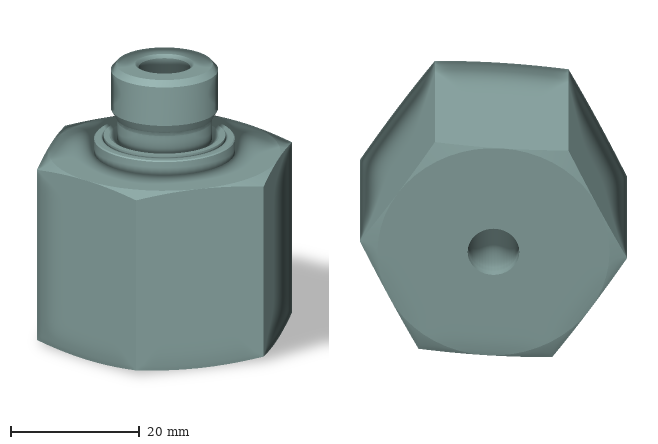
import cadquery as cq
import math

across_flats = 36.0
hex_height = 29.52
corner_chamfer_angle = 15.0

total_height = 44.0
spigot_diameter = 16.68
spigot_chamfer_height = 0.92
spigot_chamfer_width = 0.85
spigot_bottom = 36.75
neck_diameter = 14.7
neck_top = 35.02
neck_fillet = 1.2

flange_diameter = 21.9
flange_top = 31.9
flange_chamfer = 0.18
groove_diameter = 19.0
groove_bottom = hex_height

bore_diameter = 8.0
bore_mouth_chamfer = 0.55

seal_diameter = 18.9
seal_top = 32.25
seal_mouth_diameter = 17.05
seal_mouth_depth = 0.7


def make_hexagon():
    """Hexagonal prism with flats facing +X and -X and conically trimmed corners."""
    corner_radius = across_flats / math.sqrt(3)
    flat_radius = across_flats / 2
    corner_drop = (corner_radius - flat_radius) * math.tan(math.radians(corner_chamfer_angle))
    prism = (
        cq.Workplane("XY")
        .polygon(6, 2 * corner_radius)
        .extrude(hex_height)
        .rotate((0, 0, 0), (0, 0, 1), 30)
    )
    trim = (
        cq.Workplane("XZ")
        .moveTo(0, 0)
        .lineTo(flat_radius, 0)
        .lineTo(corner_radius, corner_drop)
        .lineTo(corner_radius, hex_height - corner_drop)
        .lineTo(flat_radius, hex_height)
        .lineTo(0, hex_height)
        .close()
        .revolve(360, (0, 0, 0), (0, 1, 0))
    )
    return prism.intersect(trim)


def make_flange():
    """Flange rim around the seal groove, chamfered on both upper edges."""
    return (
        cq.Workplane("XY", origin=(0, 0, groove_bottom))
        .circle(flange_diameter / 2)
        .circle(groove_diameter / 2)
        .extrude(flange_top - groove_bottom)
        .faces(">Z")
        .edges()
        .chamfer(flange_chamfer)
    )


def make_spigot():
    """Neck that widens through a cone into the chamfered spigot."""
    spigot_radius = spigot_diameter / 2
    neck_radius = neck_diameter / 2
    spigot = (
        cq.Workplane("XZ")
        .moveTo(0, hex_height)
        .lineTo(neck_radius, hex_height)
        .lineTo(neck_radius, neck_top)
        .lineTo(spigot_radius, spigot_bottom)
        .lineTo(spigot_radius, total_height - spigot_chamfer_height)
        .lineTo(spigot_radius - spigot_chamfer_width, total_height)
        .lineTo(0, total_height)
        .close()
        .revolve(360, (0, 0, 0), (0, 1, 0))
    )
    neck_edge = cq.selectors.BoxSelector(
        (-spigot_radius, -spigot_radius, neck_top - neck_fillet / 2),
        (spigot_radius, spigot_radius, neck_top + neck_fillet / 2),
        boundingbox=True,
    )
    return spigot.edges(neck_edge).fillet(neck_fillet)


def make_bore():
    """Cutter for the through bore and its chamfered upper mouth."""
    bore_radius = bore_diameter / 2
    return (
        cq.Workplane("XZ")
        .moveTo(0, 0)
        .lineTo(bore_radius, 0)
        .lineTo(bore_radius, total_height - bore_mouth_chamfer)
        .lineTo(bore_radius + bore_mouth_chamfer, total_height)
        .lineTo(0, total_height)
        .close()
        .revolve(360, (0, 0, 0), (0, 1, 0))
    )


def make_adapter():
    """Metal body: hexagon, flange and spigot with one bore through them."""
    return make_hexagon().union(make_flange()).union(make_spigot()).cut(make_bore())


def make_seal():
    """Seal ring seated in the flange groove, with a conical mouth around the neck."""
    inner_radius = neck_diameter / 2
    outer_radius = seal_diameter / 2
    return (
        cq.Workplane("XZ")
        .moveTo(inner_radius, groove_bottom)
        .lineTo(outer_radius, groove_bottom)
        .lineTo(outer_radius, seal_top)
        .lineTo(seal_mouth_diameter / 2, seal_top)
        .lineTo(inner_radius, seal_top - seal_mouth_depth)
        .close()
        .revolve(360, (0, 0, 0), (0, 1, 0))
    )


adapter = make_adapter()
seal = make_seal()

result = cq.Compound.makeCompound([adapter.val(), seal.val()])